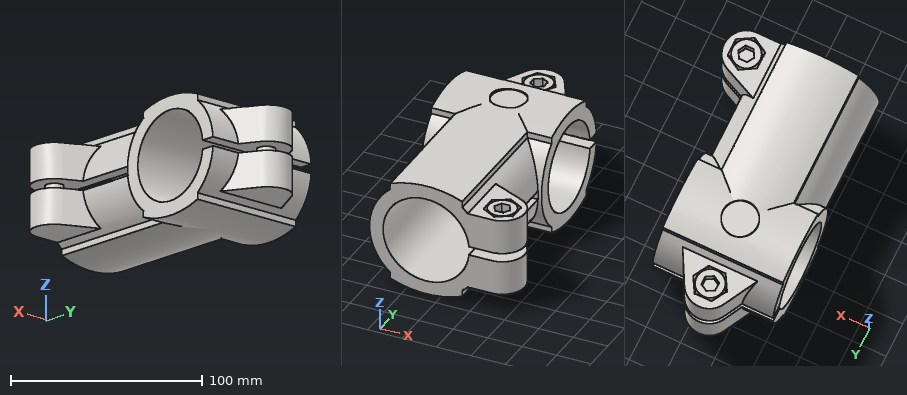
import cadquery as cq
import math

bore_radius = 25.0
tube_radius = 33.0
cross_length = 70.0
main_length = 99.0
bore_end_wall = tube_radius - bore_radius
main_bore_length = main_length - bore_radius - bore_end_wall

pad_half_width = 21.0
pad_edge_height = 29.0

flat_radius = 10.0
flat_depth = 1.25
flat_height = tube_radius - flat_depth

slot_width = 5.0
lug_thickness = 20.0
lug_top = slot_width / 2 + lug_thickness
lug_radius = 13.0
lug_root = math.sqrt(tube_radius**2 - lug_top**2)

cross_lug_y = 37.0
cross_lug_half_width = 21.7
cross_bolt_y = 36.0

main_lug_x = 38.0
main_lug_y = lug_radius - main_length
main_lug_width = 33.5

shank_diameter = 10.0
head_diameter = 15.9
head_height = 10.0
pocket_across_flats = 17.0
socket_across_flats = 8.0
socket_depth = 5.0
hex_half_step = 30.0


def solid_tube(plane, length, both=False):
    """Round tube with the crowned pads, without the bore."""
    pads = (
        cq.Workplane(plane)
        .moveTo(-pad_half_width, -pad_edge_height)
        .lineTo(-pad_half_width, pad_edge_height)
        .threePointArc((0, tube_radius), (pad_half_width, pad_edge_height))
        .lineTo(pad_half_width, -pad_edge_height)
        .threePointArc((0, -tube_radius), (-pad_half_width, -pad_edge_height))
        .close()
        .extrude(length, both=both)
    )
    barrel = cq.Workplane(plane).circle(tube_radius).extrude(length, both=both)
    return pads.union(barrel)


def tangent_point(corner, center, radius, side):
    """Point where a line from the corner touches the circle; side +1 is left of the center line."""
    dx = corner[0] - center[0]
    dy = corner[1] - center[1]
    angle = math.atan2(dy, dx) - side * math.acos(radius / math.hypot(dx, dy))
    return (center[0] + radius * math.cos(angle), center[1] + radius * math.sin(angle))


def make_cross_lug():
    """Tapered lug on the +Y side, continued inward to the tube axis as a plain block."""
    corner = (cross_lug_half_width, lug_root)
    touch_x, touch_y = tangent_point(corner, (0, cross_lug_y), lug_radius, -1)
    outline = (
        cq.Workplane("XY")
        .moveTo(-cross_lug_half_width, 0)
        .lineTo(-cross_lug_half_width, lug_root)
        .lineTo(-touch_x, touch_y)
        .threePointArc((0, cross_lug_y + lug_radius), (touch_x, touch_y))
        .lineTo(cross_lug_half_width, lug_root)
        .lineTo(cross_lug_half_width, 0)
    )
    return outline.close().extrude(lug_top, both=True)


def make_main_lug():
    """Lug on the +X side, flush with the open end and tapered on the other side."""
    corner = (lug_root, main_lug_width - main_length)
    touch = tangent_point(corner, (main_lug_x, main_lug_y), lug_radius, 1)
    outline = (
        cq.Workplane("XY")
        .moveTo(0, -main_length)
        .lineTo(main_lug_x, -main_length)
        .threePointArc((main_lug_x + lug_radius, main_lug_y), touch)
        .lineTo(*corner)
        .lineTo(0, corner[1])
    )
    return outline.close().extrude(lug_top, both=True)


def hex_prism(across_flats, depth, turn):
    """Hexagonal prism hanging down from the lug top; a turn of 0 puts corners on the X axis."""
    across_corners = across_flats / math.cos(math.radians(hex_half_step))
    prism = cq.Workplane("XY").workplane(offset=lug_top).polygon(6, across_corners).extrude(-depth)
    return prism.rotate((0, 0, 0), (0, 0, 1), turn)


def add_bolt(body, x, y, pocket_turn):
    """Sink a hexagonal pocket and fill it with a flush socket head on a shank across the slot."""
    pocket = hex_prism(pocket_across_flats, head_height, pocket_turn)
    socket = hex_prism(socket_across_flats, socket_depth, pocket_turn + hex_half_step)
    head = cq.Workplane("XY").workplane(offset=lug_top).circle(head_diameter / 2).extrude(-head_height)
    shank_length = lug_thickness - head_height + slot_width
    shank = head.faces("<Z").workplane().circle(shank_diameter / 2).extrude(shank_length, combine=False)
    bolt = head.union(shank).cut(socket)
    return body.cut(pocket.translate((x, y, 0))).union(bolt.translate((x, y, 0)))


def make_slots():
    """Slots that open each bore through its lug."""
    cross_reach = cross_lug_y + lug_radius
    cross_slot = cq.Workplane("XY").box(cross_length, cross_reach, slot_width)
    main_reach = main_lug_x + lug_radius
    main_slot = cq.Workplane("XY").box(main_reach, main_bore_length, slot_width)
    return cross_slot.translate((0, cross_reach / 2, 0)).union(
        main_slot.translate((main_reach / 2, main_bore_length / 2 - main_length, 0))
    )


def make_bores():
    """Through bore in the cross tube and blind bore in the main tube."""
    cross_bore = cq.Workplane("YZ").circle(bore_radius).extrude(cross_length / 2, both=True)
    main_bore = (
        cq.Workplane("XZ")
        .workplane(offset=main_length)
        .circle(bore_radius)
        .extrude(-main_bore_length)
    )
    return cross_bore.union(main_bore)


def make_flat():
    """Disc removed from the crown above the crossing of the tube axes."""
    return (
        cq.Workplane("XY")
        .workplane(offset=flat_height)
        .circle(flat_radius)
        .extrude(flat_depth)
    )


body = solid_tube("YZ", cross_length / 2, both=True).union(solid_tube("XZ", main_length))
body = body.union(make_cross_lug()).union(make_main_lug())
body = body.cut(make_bores()).cut(make_slots()).cut(make_flat())
body = add_bolt(body, 0, cross_bolt_y, 0)
result = add_bolt(body, main_lug_x, main_lug_y, hex_half_step)